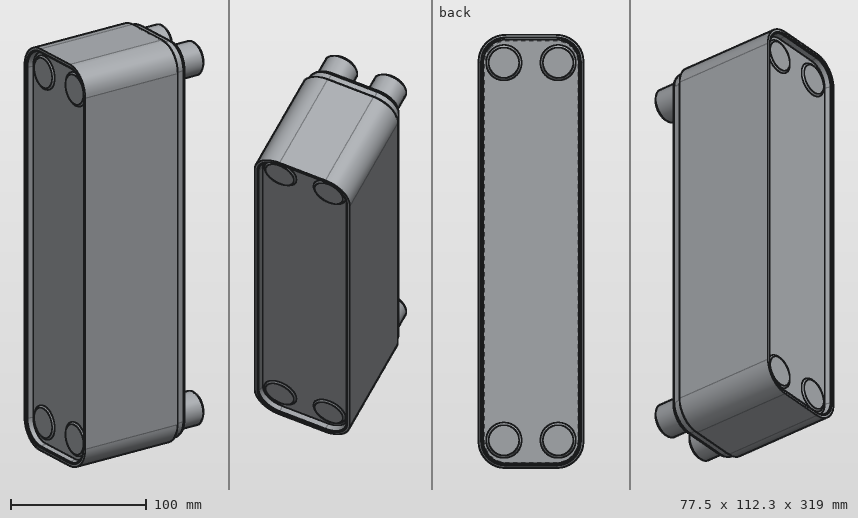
import cadquery as cq
import math

WIDTH = 77.5
HEIGHT = 319.0
CORNER_RADIUS = 20.0
TOTAL_DEPTH = 112.3
NOZZLE_LENGTH = 20.0
REAR_PLATE_THICKNESS = 7.3
REAR_CHAMFER_WIDTH = 2.0
REAR_CHAMFER_DEPTH = 1.5
PLATES_REAR = TOTAL_DEPTH - NOZZLE_LENGTH
PACK_REAR = PLATES_REAR - REAR_PLATE_THICKNESS

RIM_WIDTH = 2.2
LIP_INSET = 3.2
LIP_DEPTH = 0.5
FLOOR_INSET = 4.5
RECESS_DEPTH = 4.8
FRONT_PLATE_THICKNESS = 2.0
FRONT_PLATE_REAR = RECESS_DEPTH + FRONT_PLATE_THICKNESS

REAR_PLATE_TAPER = 5.0
BEVEL_DEPTH = 2.2
BEVEL_WIDTH = 1.3

PORT_SPACING_X = 40.0
PORT_SPACING_Z = 278.0
PORT_DIAMETER = 26.0
NOZZLE_CHAMFER = 2.0
BOSS_HEIGHT = 1.3
BOSS_TOP_DIAMETER = 23.0

PORT_CENTERS = [
    (x_side * PORT_SPACING_X / 2, z_side * PORT_SPACING_Z / 2)
    for x_side in (-1, 1)
    for z_side in (-1, 1)
]


def rounded_block(inset, y_start, y_end, end_inset=None):
    """Block from y_start to y_end, inset from the pack outline; end_inset gives it sloping sides."""
    depth = y_end - y_start
    slope = 0.0
    if end_inset is not None:
        slope = math.degrees(math.atan2(end_inset - inset, depth))
    outline = cq.Sketch().rect(WIDTH - 2 * inset, HEIGHT - 2 * inset)
    outline = outline.vertices().fillet(CORNER_RADIUS - inset)
    start_plane = cq.Plane(origin=(0, y_start, 0), xDir=(-1, 0, 0), normal=(0, 1, 0))
    return cq.Workplane(start_plane).placeSketch(outline).extrude(depth, taper=slope)


def make_plate_pack():
    chamfer_start = PACK_REAR - REAR_CHAMFER_DEPTH
    block = rounded_block(0, 0, chamfer_start)
    rear_chamfer = rounded_block(0, chamfer_start, PACK_REAR, REAR_CHAMFER_WIDTH)
    lip_bevel = rounded_block(RIM_WIDTH, 0, LIP_DEPTH, LIP_INSET)
    recess = rounded_block(LIP_INSET, LIP_DEPTH, RECESS_DEPTH, FLOOR_INSET)
    plate_seat = rounded_block(FLOOR_INSET, RECESS_DEPTH, FRONT_PLATE_REAR)
    return block.union(rear_chamfer).cut(lip_bevel).cut(recess).cut(plate_seat)


def make_boss(x, z):
    """Conical disc that rises from the front plate toward -Y."""
    slope = math.degrees(math.atan2((PORT_DIAMETER - BOSS_TOP_DIAMETER) / 2, BOSS_HEIGHT))
    base_plane = cq.Plane(origin=(x, RECESS_DEPTH, z), xDir=(1, 0, 0), normal=(0, -1, 0))
    return cq.Workplane(base_plane).circle(PORT_DIAMETER / 2).extrude(BOSS_HEIGHT, taper=slope)


def make_front_plate():
    plate = rounded_block(FLOOR_INSET, RECESS_DEPTH, FRONT_PLATE_REAR)
    for x, z in PORT_CENTERS:
        plate = plate.union(make_boss(x, z))
    return plate


def make_rear_plate():
    bevel_start = PLATES_REAR - BEVEL_DEPTH
    taper_inset = (bevel_start - PACK_REAR) * math.tan(math.radians(REAR_PLATE_TAPER))
    bevel_inset = REAR_CHAMFER_WIDTH + taper_inset
    side = rounded_block(REAR_CHAMFER_WIDTH, PACK_REAR, bevel_start, bevel_inset)
    bevel = rounded_block(bevel_inset, bevel_start, PLATES_REAR, bevel_inset + BEVEL_WIDTH)
    return side.union(bevel)


def make_nozzle(x, z):
    base_plane = cq.Plane(origin=(x, PLATES_REAR, z), xDir=(-1, 0, 0), normal=(0, 1, 0))
    nozzle = cq.Workplane(base_plane).circle(PORT_DIAMETER / 2).extrude(NOZZLE_LENGTH)
    return nozzle.faces(">Y").chamfer(NOZZLE_CHAMFER)


plate_pack = make_plate_pack()
front_plate = make_front_plate()
rear_plate = make_rear_plate()
nozzles = [make_nozzle(x, z).val() for x, z in PORT_CENTERS]

result = cq.Compound.makeCompound([plate_pack.val(), front_plate.val(), rear_plate.val(), *nozzles])